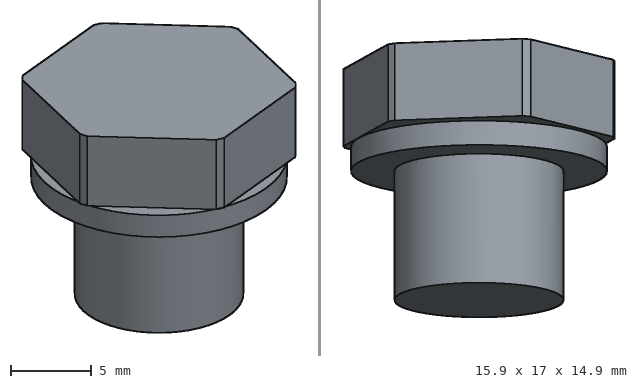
import cadquery as cq
import math

total_height = 14.9
head_height = 4.9
head_across_flats = 15.0
head_corner_diameter = 17.0
shank_diameter = 10.5

washer_diameter = 15.91
washer_thickness = 1.53
washer_gap = 0.29

head_bottom = total_height - head_height
washer_bottom = head_bottom - washer_gap - washer_thickness


def make_bolt():
    """Shank and hexagonal head with two opposite corners on the Y axis."""
    sharp_corner_diameter = head_across_flats / math.cos(math.pi / 6)
    hexagon = (
        cq.Workplane("XY", origin=(0, 0, head_bottom))
        .polygon(6, sharp_corner_diameter)
        .extrude(head_height)
        .rotate((0, 0, 0), (0, 0, 1), 30)
    )
    corner_cylinder = (
        cq.Workplane("XY", origin=(0, 0, head_bottom))
        .circle(head_corner_diameter / 2)
        .extrude(head_height)
    )
    head = hexagon.intersect(corner_cylinder)
    shank = cq.Workplane("XY").circle(shank_diameter / 2).extrude(head_bottom)
    return shank.union(head)


def make_washer():
    """Flat ring whose bore fits the shank."""
    return (
        cq.Workplane("XY", origin=(0, 0, washer_bottom))
        .circle(washer_diameter / 2)
        .circle(shank_diameter / 2)
        .extrude(washer_thickness)
    )


bolt = make_bolt()
washer = make_washer()

result = cq.Compound.makeCompound([bolt.val(), washer.val()])